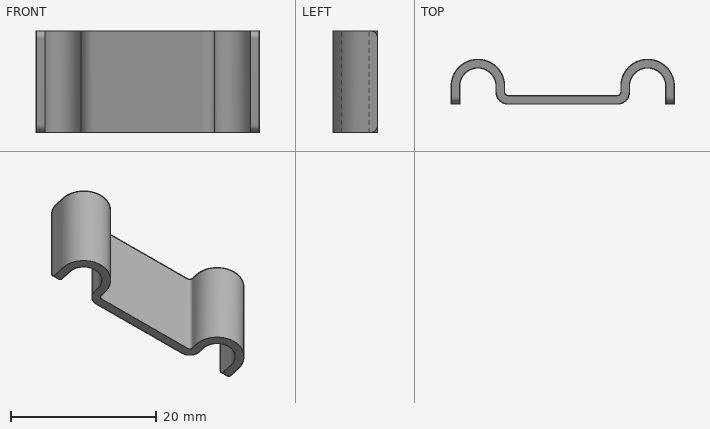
import cadquery as cq

length = 30.8
height = 14.0
depth = 6.2
thickness = 1.2
hook_radius = 3.7
bend_inner_radius = 0.5
corner_radius = 1.0

hook_inner_radius = hook_radius - thickness
hook_x = length / 2 - hook_radius
leg_length = depth - hook_radius
bend_outer_radius = bend_inner_radius + thickness
bend_x = hook_x - hook_inner_radius - bend_outer_radius
bend_y = bend_outer_radius - leg_length


def ring(center_x, center_y, outer_radius, inner_radius):
    """Full-height tube around a vertical axis."""
    return (
        cq.Workplane("XY")
        .center(center_x, center_y)
        .circle(outer_radius)
        .circle(inner_radius)
        .extrude(height)
    )


def block(x_min, x_max, y_min, y_max):
    """Full-height block between the given X and Y limits."""
    return cq.Workplane("XY").box(
        x_max - x_min, y_max - y_min, height, centered=False
    ).translate((x_min, y_min, 0))


def hook():
    """Half-round hook, its free leg and the bend that leads to the web, on the +X side."""
    arch = ring(hook_x, 0, hook_radius, hook_inner_radius).intersect(
        block(hook_x - hook_radius, length / 2, 0, hook_radius)
    )
    leg = (
        block(length / 2 - thickness, length / 2, -leg_length, 0)
        .edges("|X and <Y")
        .fillet(corner_radius)
    )
    inner_wall_x = hook_x - hook_radius
    neck = block(inner_wall_x, inner_wall_x + thickness, bend_y, 0)
    bend = ring(bend_x, bend_y, bend_outer_radius, bend_inner_radius).intersect(
        block(bend_x, bend_x + bend_outer_radius, -leg_length, bend_y)
    )
    return arch.union(leg).union(neck).union(bend)


web = block(-bend_x, bend_x, -leg_length, thickness - leg_length)
right_hook = hook()
left_hook = right_hook.mirror("YZ")
result = web.union(right_hook).union(left_hook)